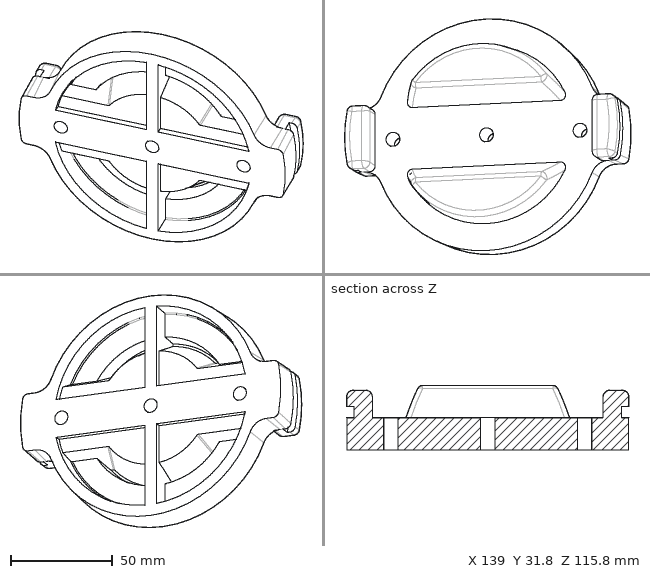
import cadquery as cq
import math


plate_radius = 57.9
plate_thickness = 16.0
body_draft = 3.0
end_radius = 69.5
lug_half_width = 15.7
lug_root_fillet = 9.2
lug_corner_fillet = 2.9

hook_inner_x = 56.7
hook_top = 29.5
hook_corner_fillet = lug_corner_fillet
hook_top_fillet = 3.3
neck_radius = 65.8
nose_bottom = 21.4

boss_radius = 44.5
boss_top = 31.8
boss_draft = 5.0
boss_half_gap = 15.4
flank_angle = 26.0
boss_fillet = 2.8

floor_thickness = 6.4
pocket_depth = plate_thickness - floor_thickness
pocket_radius = 51.4
pocket_draft = 5.0
pocket_fillet = 0.7
bar_half_width = 9.9
rib_half_width = 3.0
rib_draft = 4.0

core_front = 3.2
core_radius = 29.2
core_half_width = 17.1
core_angle = 25.0
core_fillet = 1.1

groove_radius = 38.3
groove_draft = 6.0
groove_depth = 18.2

hole_diameter = 7.0
hole_spacing = 47.6

clearance = 1.4


def spread(length, angle):
    """Sideways change of a face leaning by angle over the given length."""
    return length * math.tan(math.radians(angle))


def cone(y0, y1, r0, angle=0.0):
    """Round solid about Y from y0 to y1 whose radius starts at r0 and grows by angle."""
    r1 = r0 + spread(y1 - y0, angle)
    outline = cq.Workplane("XY").polyline([(0, y0), (r0, y0), (r1, y1), (0, y1)]).close()
    return outline.revolve(360, (0, 0, 0), (0, 1, 0))


def wedge(y0, y1, half0, angle, half_length):
    """Bar along X from y0 to y1 whose half width in Z starts at half0 and grows by angle."""
    half1 = half0 + spread(y1 - y0, angle)
    corners = [(y0, -half0), (y0, half0), (y1, half1), (y1, -half1)]
    return cq.Workplane("YZ").polyline(corners).close().extrude(half_length, both=True)


def turned(shape, angle):
    """Shape turned about the Y axis."""
    return shape.rotate((0, 0, 0), (0, 1, 0), angle)


def fillet_corners(shape, radius, y_middle, x_min, x_max):
    """Round the edges centred near depth y_middle, off the X axis, with |X| within the limits."""
    corners = []
    for edge in shape.edges().vals():
        centre = edge.Center()
        in_range = x_min < abs(centre.x) < x_max and abs(centre.z) > clearance
        if in_range and abs(centre.y - y_middle) < clearance:
            corners.append(edge)
    return shape.newObject([shape.val().fillet(radius, corners)])


def make_body():
    shrink = spread(plate_thickness, body_draft)
    plate = cone(0, plate_thickness, plate_radius - shrink, body_draft)
    lugs = wedge(0, plate_thickness, lug_half_width - shrink, body_draft, end_radius + clearance)
    lugs = lugs.intersect(cone(0, plate_thickness, end_radius))
    body = plate.union(lugs)
    middle = plate_thickness / 2
    body = fillet_corners(body, lug_root_fillet, middle, 0, plate_radius)
    return fillet_corners(body, lug_corner_fillet, middle, neck_radius, end_radius)


def make_hook():
    """Hook on the +X lug, its nose pointing outward."""
    length = end_radius + clearance - hook_inner_x
    height = hook_top - plate_thickness
    hook = cq.Workplane("XY").box(length, height, 2 * lug_half_width, centered=(False, False, True))
    hook = hook.translate((hook_inner_x, plate_thickness, 0))
    hook = hook.intersect(cone(plate_thickness, hook_top, end_radius))
    hook = hook.edges("|Y").fillet(hook_corner_fillet)
    hook = hook.faces(">Y").edges().fillet(hook_top_fillet)
    neck = cone(plate_thickness, nose_bottom, neck_radius)
    notch = cone(plate_thickness, nose_bottom, end_radius + clearance).cut(neck)
    return hook.cut(notch)


def make_boss():
    """Boss on the +Z side: a round segment with a sloping flank, solid at this stage."""
    gap = wedge(plate_thickness, boss_top, boss_half_gap, flank_angle, end_radius)
    segments = cone(plate_thickness, boss_top, boss_radius, -boss_draft).cut(gap)
    return segments.solids(">Z").edges("not <Y").fillet(boss_fillet)


def make_core():
    core = cone(core_front, groove_depth, core_radius, core_angle)
    core = core.union(wedge(core_front, groove_depth, core_half_width, core_angle, end_radius))
    middle = (core_front + groove_depth) / 2
    return fillet_corners(core, core_fillet, middle, clearance, groove_radius)


def make_pockets():
    """Material removed from the front: the four pockets and the grooves under the bosses."""
    pockets = cone(0, pocket_depth, pocket_radius, -pocket_draft)
    pockets = pockets.faces(">Y").edges().fillet(pocket_fillet)
    pockets = pockets.union(cone(pocket_depth, groove_depth, groove_radius, -groove_draft))
    bar = wedge(0, groove_depth, bar_half_width, 0, end_radius)
    rib = turned(wedge(0, groove_depth, rib_half_width, rib_draft, end_radius), 90)
    return pockets.cut(make_core()).cut(bar).cut(rib)


result = make_body()
for side in (0, 180):
    result = result.union(turned(make_boss(), side))
    result = result.union(turned(make_hook(), side))
result = result.cut(make_pockets())
for x in (-hole_spacing, 0, hole_spacing):
    hole = cone(0, plate_thickness, hole_diameter / 2).translate((x, 0, 0))
    result = result.cut(hole)